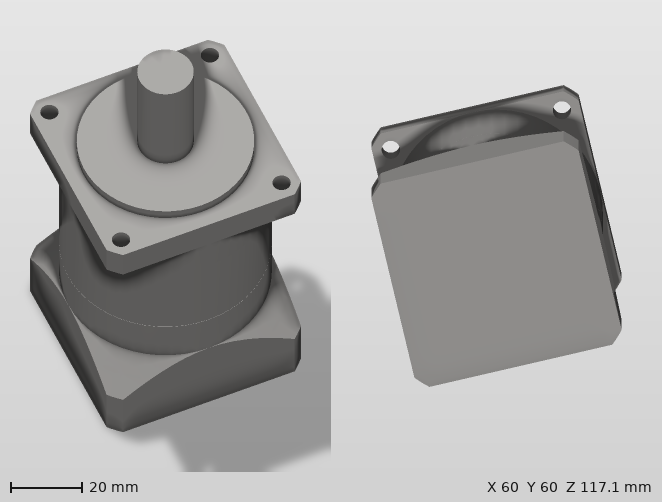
import cadquery as cq

TOTAL_HEIGHT = 117.1
SQUARE_SIDE = 60.0
CORNER_DIAMETER = 80.0

BASE_HEIGHT = 15.0
CONE_HEIGHT = 10.0
LOWER_RING_HEIGHT = 13.1
MIDDLE_RING_HEIGHT = 25.0
UPPER_RING_HEIGHT = 10.0
GROOVE_WIDTH = 0.1
GROOVE_DEPTH = 0.1
FLANGE_HEIGHT = 9.0
PILOT_HEIGHT = 3.0

BODY_DIAMETER = SQUARE_SIDE
PILOT_DIAMETER = 50.0
SHAFT_DIAMETER = 15.9

HOLE_DIAMETER = 5.2
HOLE_CIRCLE_DIAMETER = 70.0
HOLE_COUNT = 4
FIRST_HOLE_ANGLE = 45.0

CONE_TOP = BASE_HEIGHT + CONE_HEIGHT
BODY_HEIGHT = LOWER_RING_HEIGHT + GROOVE_WIDTH + MIDDLE_RING_HEIGHT + UPPER_RING_HEIGHT
FLANGE_BOTTOM = CONE_TOP + BODY_HEIGHT
FLANGE_TOP = FLANGE_BOTTOM + FLANGE_HEIGHT
PILOT_TOP = FLANGE_TOP + PILOT_HEIGHT
SHAFT_LENGTH = TOTAL_HEIGHT - PILOT_TOP


def disc(diameter, bottom, height):
    """Cylinder on the Z axis standing on the given level."""
    return cq.Workplane("XY").workplane(offset=bottom).circle(diameter / 2).extrude(height)


def square_block(bottom, height):
    """Square prism on the Z axis standing on the given level."""
    return cq.Workplane("XY").workplane(offset=bottom).rect(SQUARE_SIDE, SQUARE_SIDE).extrude(height)


def make_base():
    """Square base whose corners and conical shoulder come from one turned blank."""
    corner_radius = CORNER_DIAMETER / 2
    turned_blank = (
        cq.Workplane("XZ")
        .moveTo(0, 0)
        .lineTo(corner_radius, 0)
        .lineTo(corner_radius, BASE_HEIGHT)
        .lineTo(BODY_DIAMETER / 2, CONE_TOP)
        .lineTo(0, CONE_TOP)
        .close()
        .revolve(360, (0, 0), (0, 1))
    )
    return square_block(0, CONE_TOP).intersect(turned_blank)


def make_flange():
    """Square flange with turned corners and a through hole in each corner."""
    turned_blank = disc(CORNER_DIAMETER, FLANGE_BOTTOM, FLANGE_HEIGHT)
    holes = (
        cq.Workplane("XY")
        .workplane(offset=FLANGE_BOTTOM)
        .polarArray(HOLE_CIRCLE_DIAMETER / 2, FIRST_HOLE_ANGLE, 360, HOLE_COUNT)
        .circle(HOLE_DIAMETER / 2)
        .extrude(FLANGE_HEIGHT)
    )
    return square_block(FLANGE_BOTTOM, FLANGE_HEIGHT).intersect(turned_blank).cut(holes)


def add_body_rings(solid):
    """Stack the housing rings and the joint groove on the base, keeping the seams between them."""
    groove_diameter = BODY_DIAMETER - 2 * GROOVE_DEPTH
    rings = (
        (BODY_DIAMETER, LOWER_RING_HEIGHT),
        (groove_diameter, GROOVE_WIDTH),
        (BODY_DIAMETER, MIDDLE_RING_HEIGHT),
        (BODY_DIAMETER, UPPER_RING_HEIGHT),
    )
    level = CONE_TOP
    for diameter, height in rings:
        solid = solid.union(disc(diameter, level, height), clean=False)
        level += height
    return solid


housing = add_body_rings(make_base())
flange = make_flange()
pilot = disc(PILOT_DIAMETER, FLANGE_TOP, PILOT_HEIGHT)
shaft = disc(SHAFT_DIAMETER, PILOT_TOP, SHAFT_LENGTH)

result = housing
for section in (flange, pilot, shaft):
    result = result.union(section, clean=False)